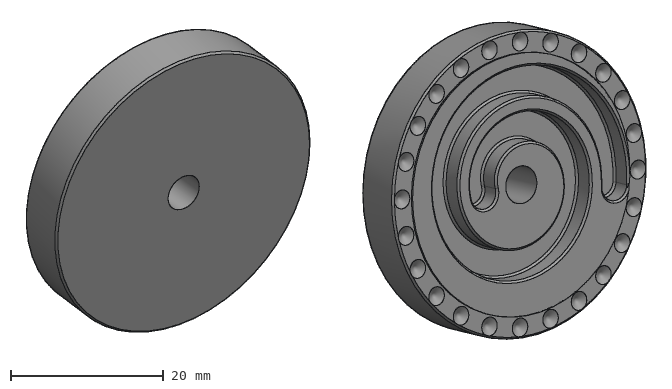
import cadquery as cq
import math

outer_diameter = 41.0
bore_diameter = 5.0
rim_thickness = 7.0
edge_chamfer = 0.3

disc_diameter = 35.0
disc_height = 0.3
disc_face_x = -disc_height

dimple_count = 24
dimple_circle_diameter = 38.0
dimple_diameter = 2.5
dimple_cone_angle = math.radians(118)
dimple_depth = dimple_diameter / 2 / math.tan(dimple_cone_angle / 2)

groove_width = 4.0
groove_depth = 3.0
groove_chamfer = 0.3
spiral_pitch = 6.05
spiral_base_radius = 15.15
spiral_start_angle = math.radians(-6.5)
spiral_end_angle = math.radians(546.5)
radius_per_radian = spiral_pitch / (2 * math.pi)
wall_spans = 79


def groove_wall_point(angle, offset):
    """Point at a signed distance, positive outward, square to the groove centre line."""
    radius = spiral_base_radius - radius_per_radian * angle
    slope_length = math.hypot(radius, radius_per_radian)
    outward = offset * radius / slope_length
    forward = offset * radius_per_radian / slope_length
    along_horizontal = (radius + outward) * math.cos(angle) - forward * math.sin(angle)
    along_z = (radius + outward) * math.sin(angle) + forward * math.cos(angle)
    return cq.Vector(0, -along_horizontal, along_z)


def groove_end_tip(angle, half_width, direction):
    """Tip of the round groove end; direction is +1 ahead along the spiral, -1 behind."""
    outer = groove_wall_point(angle, half_width)
    inner = groove_wall_point(angle, -half_width)
    across = (outer - inner) * 0.5
    ahead = cq.Vector(0, across.z, -across.y)
    return (outer + inner) * 0.5 + ahead * direction


def groove_wall(offset):
    """Smooth curve of one groove wall along the whole spiral."""
    step = (spiral_end_angle - spiral_start_angle) / wall_spans
    points = [groove_wall_point(spiral_start_angle + i * step, offset) for i in range(wall_spans + 1)]
    return cq.Edge.makeSpline(points)


def groove_outline(half_width, x):
    """Closed outline of the groove with round ends, in the plane at the given x."""
    outer_wall = groove_wall(half_width)
    inner_wall = groove_wall(-half_width)
    start_cap = cq.Edge.makeThreePointArc(
        inner_wall.startPoint(),
        groove_end_tip(spiral_start_angle, half_width, -1),
        outer_wall.startPoint(),
    )
    end_cap = cq.Edge.makeThreePointArc(
        outer_wall.endPoint(),
        groove_end_tip(spiral_end_angle, half_width, 1),
        inner_wall.endPoint(),
    )
    outline = cq.Wire.assembleEdges([outer_wall, end_cap, inner_wall, start_cap])
    return outline.translate(cq.Vector(x, 0, 0))


def groove_cutter():
    """Groove volume: chamfered floor, straight walls, chamfered mouth."""
    half_width = groove_width / 2
    floor_x = disc_face_x + groove_depth
    sections = [
        (half_width + groove_chamfer, disc_face_x),
        (half_width, disc_face_x + groove_chamfer),
        (half_width, floor_x - groove_chamfer),
        (half_width - groove_chamfer, floor_x),
    ]
    outlines = [groove_outline(width, x) for width, x in sections]
    return cq.Workplane(cq.Solid.makeLoft(outlines, True))


def wheel_body():
    """Chamfered rim with the raised disc on its -X face."""
    rim = cq.Workplane("YZ").circle(outer_diameter / 2).extrude(rim_thickness)
    rim = rim.edges().chamfer(edge_chamfer)
    disc = cq.Workplane("YZ").circle(disc_diameter / 2).extrude(-disc_height)
    return rim.union(disc)


def bore_cutter():
    """Plain through bore on the wheel axis."""
    return (
        cq.Workplane("YZ", origin=(disc_face_x, 0, 0))
        .circle(bore_diameter / 2)
        .extrude(disc_height + rim_thickness)
    )


def dimple_cutters():
    """Shallow cones sunk into the rim face, the first one on the +Z side."""
    cutters = cq.Workplane()
    for i in range(dimple_count):
        cone = cq.Solid.makeCone(
            dimple_diameter / 2,
            0,
            dimple_depth,
            pnt=cq.Vector(0, 0, dimple_circle_diameter / 2),
            dir=cq.Vector(1, 0, 0),
        )
        cutters.add(cone.rotate(cq.Vector(0, 0, 0), cq.Vector(1, 0, 0), i * 360 / dimple_count))
    return cutters.combine()


result = wheel_body().cut(bore_cutter()).cut(groove_cutter()).cut(dimple_cutters())